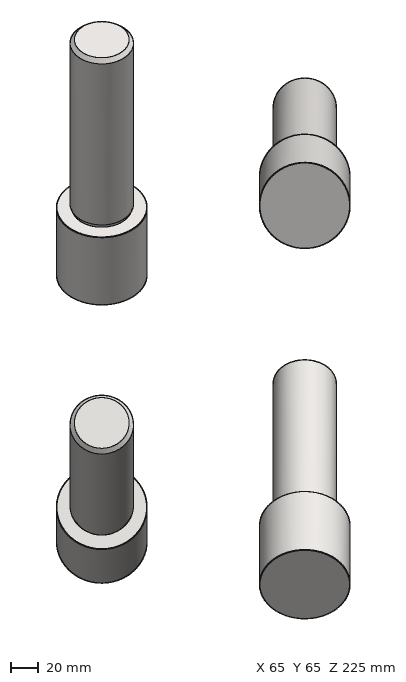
import cadquery as cq

total_height = 225.0
head_diameter = 65.0
head_height = 65.0
head_chamfer = 0.5
shank_diameter = 45.5
neck_diameter = 43.2
neck_height = 3.2
tip_diameter = 39.2
tip_height = 3.2

head_radius = head_diameter / 2
shank_radius = shank_diameter / 2
neck_radius = neck_diameter / 2
tip_radius = tip_diameter / 2
shank_base = head_height + neck_height
tip_base = total_height - tip_height

half_section = (
    cq.Workplane("XZ")
    .moveTo(0, 0)
    .lineTo(head_radius - head_chamfer, 0)
    .lineTo(head_radius, head_chamfer)
    .lineTo(head_radius, head_height - head_chamfer)
    .lineTo(head_radius - head_chamfer, head_height)
    .lineTo(neck_radius, head_height)
    .lineTo(neck_radius, shank_base)
    .lineTo(shank_radius, shank_base)
    .lineTo(shank_radius, tip_base)
    .lineTo(tip_radius, total_height)
    .lineTo(0, total_height)
    .close()
)

result = half_section.revolve(360, (0, 0, 0), (0, 1, 0))